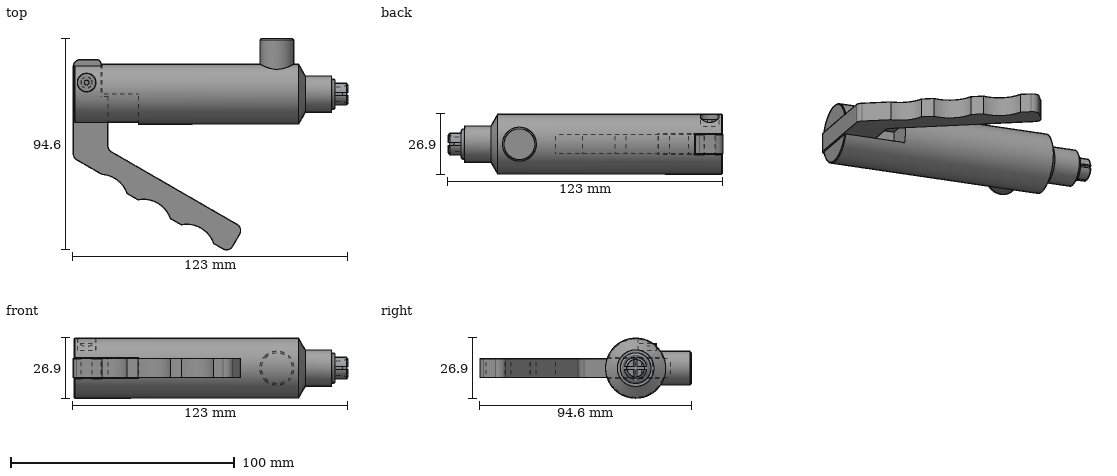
import cadquery as cq
import math

total_length = 122.96

barrel_start = 0.35
barrel_radius = 26.92 / 2
barrel_end_chamfer = 0.4
shoulder_start = 100.8
neck_start = 103.8
neck_end = 115.6
neck_radius = 16.38 / 2
collar_end = 117.2
collar_radius = 13.7 / 2
collar_rounding = 1.2

tip_radius = 5.0
tip_chamfer_length = 0.7
tip_chamfer_depth = 1.1
tip_slot_width = 1.4
core_radius = 3.3
core_flare_start = 120.4
core_end = 122.4
core_end_radius = 4.0

port_x = 91.1
port_radius = 15.19 / 2
port_top = 24.95
port_chamfer = 0.7

slot_width = 9.4
slot_short_end = 12.8
slot_long_end = 29.2
slot_step_y = 0.0

pivot_x = 6.0
pivot_y = 5.2
pin_radius = 4.83 / 2
pin_hole_radius = 4.98 / 2
head_radius = 8.16 / 2
head_recess_radius = 8.33 / 2
head_seat_z = 8.0
head_top_z = 10.95
head_dimple_radius = 1.05
head_dimple_depth = 1.0

lever_thickness = 8.56
lever_top = 15.5
lever_head_width = 12.45
lever_stem_width = 15.54
lever_step_y = -1.0
lever_corner_radius = 3.175
lever_top_right_radius = 2.0
arm_angle = math.radians(30)
arm_root_y = -24.87
arm_length = 69.92
arm_depth = 12.7
arm_root_depth = 10.9

scallop_count = 3
scallop_radius = 12.7
scallop_chord = 16.7
scallop_first_start = 0.5
scallop_pitch = 22.35


def z_cylinder(x, y, radius, bottom, top):
    """Vertical cylinder between two heights."""
    return cq.Workplane("XY", origin=(x, y, bottom)).circle(radius).extrude(top - bottom)


def box(x_range, y_range, z_range):
    """Axis-aligned block between pairs of limits."""
    size = [high - low for low, high in (x_range, y_range, z_range)]
    corner = (x_range[0], y_range[0], z_range[0])
    return cq.Workplane("XY").box(*size, centered=False).translate(corner)


def revolve_about_x(points):
    """Turned solid from (x, radius) points."""
    return cq.Workplane("XY").polyline(points).close().revolve(360, (0, 0, 0), (1, 0, 0))


def make_barrel():
    """Main cylinder, shoulder cone, neck and rounded collar."""
    barrel = revolve_about_x([
        (barrel_start, 0),
        (barrel_start, barrel_radius - barrel_end_chamfer),
        (barrel_start + barrel_end_chamfer, barrel_radius),
        (shoulder_start, barrel_radius),
        (neck_start, neck_radius),
        (neck_end, neck_radius),
        (neck_end, collar_radius),
        (collar_end, collar_radius),
        (collar_end, 0),
    ])
    return barrel.faces(">X").edges().fillet(collar_rounding)


def make_tip():
    """Chamfered tip, slotted crosswise down to a flared core."""
    tip = revolve_about_x([
        (neck_end, 0),
        (neck_end, tip_radius),
        (total_length - tip_chamfer_length, tip_radius),
        (total_length, tip_radius - tip_chamfer_depth),
        (total_length, 0),
    ])
    core = revolve_about_x([
        (neck_end, 0),
        (neck_end, core_radius),
        (core_flare_start, core_radius),
        (core_end, core_end_radius),
        (core_end, 0),
    ])
    across = (-tip_radius, tip_radius)
    gap = (-tip_slot_width / 2, tip_slot_width / 2)
    length = (collar_end, total_length)
    return tip.cut(box(length, across, gap)).cut(box(length, gap, across)).union(core)


def make_port():
    """Side port, pointing along +Y with a chamfered rim."""
    port = cq.Workplane("XZ", origin=(port_x, 0, 0)).circle(port_radius).extrude(-port_top)
    return port.faces(">Y").chamfer(port_chamfer)


def cut_lever_slot(body):
    """Open the left end for the lever; the slot runs further along the -Y side."""
    width = (-slot_width / 2, slot_width / 2)
    body = body.cut(box((0, slot_short_end), (-barrel_radius, barrel_radius), width))
    return body.cut(box((0, slot_long_end), (-barrel_radius, slot_step_y), width))


def add_pivot_pin(body):
    """Pin across the slot, with a flat dimpled head set in a recess on the +Z side."""
    recess = z_cylinder(pivot_x, pivot_y, head_recess_radius, head_seat_z, barrel_radius)
    pin = z_cylinder(pivot_x, pivot_y, pin_radius, -head_seat_z, head_seat_z)
    head = z_cylinder(pivot_x, pivot_y, head_radius, head_seat_z, head_top_z)
    dimple_floor = head_top_z - head_dimple_depth
    dimple = z_cylinder(pivot_x, pivot_y, head_dimple_radius, dimple_floor, head_top_z)
    return body.cut(recess).union(pin).union(head).cut(dimple)


def make_housing():
    """Barrel, tip, port and pivot pin as one solid."""
    body = make_barrel().union(make_tip()).union(make_port())
    return add_pivot_pin(cut_lever_slot(body))


def arm_point(along, down):
    """Point measured along the arm and square to it, from the inner bend."""
    x = lever_stem_width + along * math.cos(arm_angle) - down * math.sin(arm_angle)
    y = arm_root_y - along * math.sin(arm_angle) - down * math.cos(arm_angle)
    return x, y


def scallop_middle(index):
    """Distance along the arm to the middle of a scallop."""
    return scallop_first_start + index * scallop_pitch + scallop_chord / 2


def round_corner(body, corner, radius):
    """Fillet the vertical edge that stands at an outline corner."""
    nearest = cq.selectors.NearestToPointSelector((*corner, 0))
    return body.edges("|Z").edges(nearest).fillet(radius)


def make_lever():
    """Lever head and stem, then the inclined arm with its finger scallops."""
    heel_along = (arm_root_depth * math.sin(arm_angle) - lever_stem_width) / math.cos(arm_angle)
    top_left = (0, lever_top)
    top_right = (lever_head_width, lever_top)
    bend = arm_point(0, 0)
    tip_inner = arm_point(arm_length, 0)
    tip_outer = arm_point(arm_length, arm_depth)
    heel = arm_point(heel_along, arm_root_depth)
    outline = [
        top_left,
        top_right,
        (lever_head_width, lever_step_y),
        (lever_stem_width, lever_step_y),
        bend,
        tip_inner,
        tip_outer,
        arm_point(scallop_middle(0), arm_depth),
        arm_point(scallop_middle(0), arm_root_depth),
        heel,
    ]
    bottom = -lever_thickness / 2
    lever = cq.Workplane("XY", origin=(0, 0, bottom)).polyline(outline).close().extrude(lever_thickness)
    lever = round_corner(lever, top_right, lever_top_right_radius)
    for corner in (top_left, bend, tip_inner, tip_outer, heel):
        lever = round_corner(lever, corner, lever_corner_radius)

    centre_depth = arm_depth + math.sqrt(scallop_radius ** 2 - (scallop_chord / 2) ** 2)
    for index in range(scallop_count):
        x, y = arm_point(scallop_middle(index), centre_depth)
        lever = lever.cut(z_cylinder(x, y, scallop_radius, bottom, -bottom))
    return lever.cut(z_cylinder(pivot_x, pivot_y, pin_hole_radius, bottom, -bottom))


housing = make_housing()
lever = make_lever()

result = cq.Compound.makeCompound([housing.val(), lever.val()])